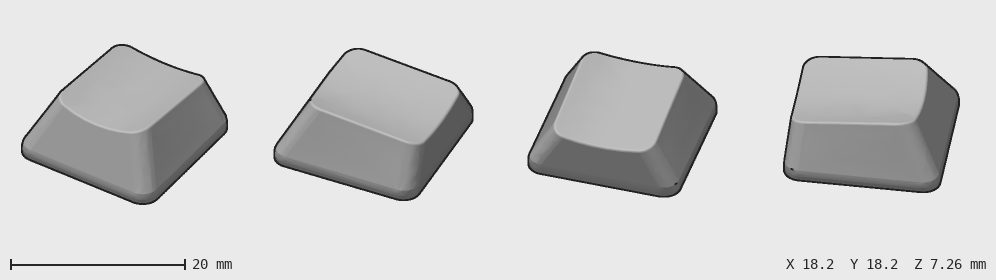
import cadquery as cq
import math

base_size = 18.16
corner_radius = 2.02
skirt_height = 0.62
shoulder_rise = 0.73
shoulder_corner_radius = 1.87
shoulder_steps = 4

side_lean = 25.5
front_lean = 28.9
back_lean = 5.4

top_width = 11.88
top_front_y = -5.45
top_back_y = 8.59
top_height = 7.12
top_tilt = 5.6
top_corner_radius = 1.82

dish_half_length = 10.9
dish_half_width = 8.17
dish_front_radius = 15.44
dish_back_radius = 27.24
dish_front_floor = 6.77
dish_back_floor = 5.2
rim_radius = 0.3


def shoulder_inset(lean, rise):
    """Return how far a wall has curved inward at a rise above the skirt."""
    radius = shoulder_rise / math.sin(math.radians(lean))
    return radius - math.sqrt(radius**2 - rise**2)


def shoulder_section(rise):
    """Return the rounded outline of the shoulder at a rise above the skirt."""
    side = shoulder_inset(side_lean, rise)
    front = shoulder_inset(front_lean, rise)
    back = shoulder_inset(back_lean, rise)
    radius = corner_radius + (shoulder_corner_radius - corner_radius) * rise / shoulder_rise
    center = cq.Vector(0, (front - back) / 2, skirt_height + rise)
    outline = cq.Sketch().rect(base_size - 2 * side, base_size - front - back).vertices().fillet(radius)
    return outline.moved(cq.Location(center))


def top_section():
    """Return the rounded outline at the top, on a plane tilted down toward the back."""
    depth = (top_back_y - top_front_y) / math.cos(math.radians(top_tilt))
    center_y = (top_back_y + top_front_y) / 2
    center_height = top_height - center_y * math.tan(math.radians(top_tilt))
    outline = cq.Sketch().rect(top_width, depth).vertices().fillet(top_corner_radius)
    return outline.moved(cq.Location(cq.Vector(0, center_y, center_height), cq.Vector(1, 0, 0), -top_tilt))


def make_body():
    skirt = cq.Workplane("XY").placeSketch(shoulder_section(0)).extrude(-skirt_height)
    sections = [
        shoulder_section(shoulder_rise * step / shoulder_steps) for step in range(shoulder_steps + 1)
    ]
    shoulder = cq.Workplane("XY").placeSketch(*sections).loft()
    walls = cq.Workplane("XY").placeSketch(sections[-1], top_section()).loft(ruled=True)
    return skirt.union(shoulder).union(walls)


def dish_section(y, radius, floor):
    """Return the wire of the dish cutter at a Y position: an arc below a flat lid."""
    edge_height = floor + radius - math.sqrt(radius**2 - dish_half_width**2)
    lid_height = floor + base_size / 2
    return (
        cq.Workplane("XZ", origin=(0, y, 0))
        .moveTo(-dish_half_width, edge_height)
        .threePointArc((0, floor), (dish_half_width, edge_height))
        .lineTo(dish_half_width, lid_height)
        .lineTo(-dish_half_width, lid_height)
        .close()
        .val()
    )


def make_dish_cutter():
    front = dish_section(-dish_half_length, dish_front_radius, dish_front_floor)
    back = dish_section(dish_half_length, dish_back_radius, dish_back_floor)
    return cq.Workplane(cq.Solid.makeLoft([front, back], True))


dished_body = make_body().cut(make_dish_cutter())
dish_middle = (0, (top_front_y + top_back_y) / 2, (dish_front_floor + dish_back_floor) / 2)
dish_face = dished_body.faces(cq.selectors.NearestToPointSelector(dish_middle))
result = dish_face.edges().fillet(rim_radius)